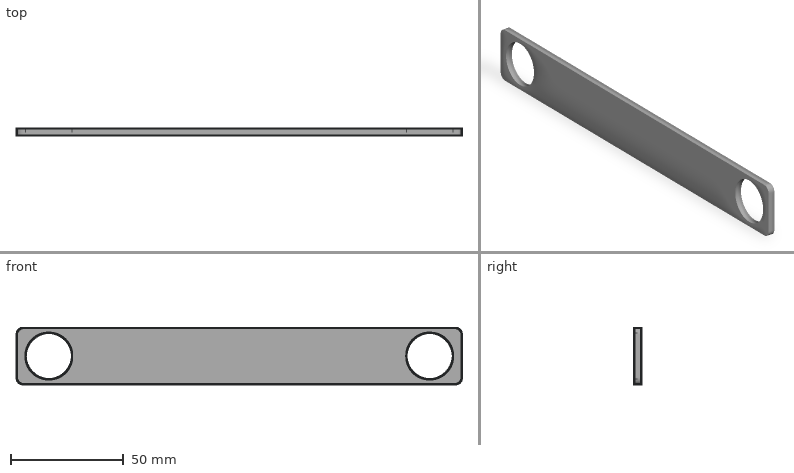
import cadquery as cq

length = 197.0
thickness = 3.2
height = 25.0
corner_radius = 3.0

hole_diameter = 20.5
hole_spacing = 168.5


def make_plate():
    """Plate centred on the origin, with its four corners rounded."""
    plate = cq.Workplane("XY").box(length, thickness, height)
    return plate.edges("|Y").fillet(corner_radius)


def cut_end_holes(plate):
    """Cut the two holes through the thickness."""
    hole_centres = [(-hole_spacing / 2, 0), (hole_spacing / 2, 0)]
    return plate.faces("<Y").workplane().pushPoints(hole_centres).hole(hole_diameter)


result = cut_end_holes(make_plate())